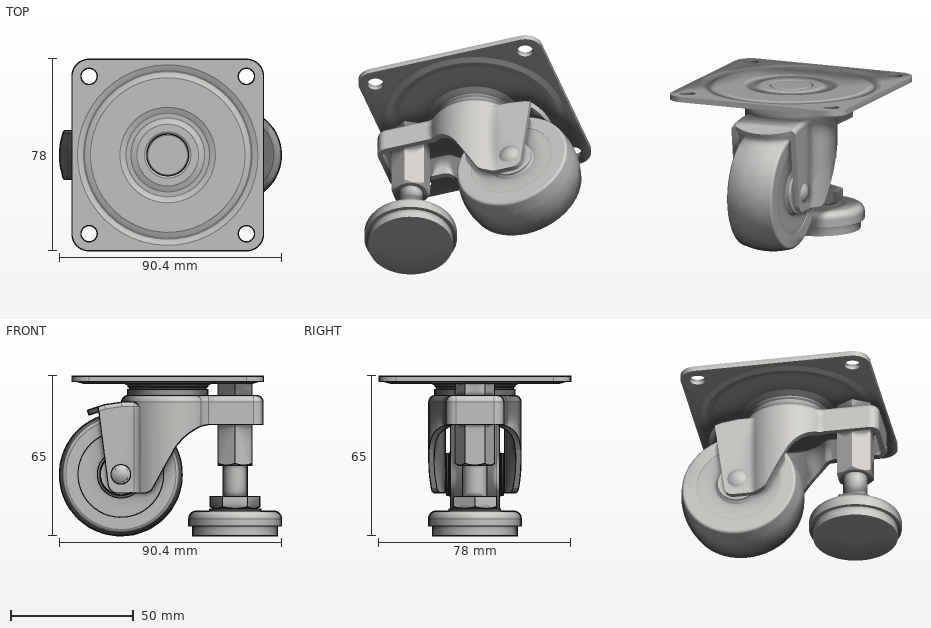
import cadquery as cq
import math


plate_side = 78.0
plate_top = 65.0
plate_thickness = 2.3
plate_corner_radius = 7.0
plate_bottom = plate_top - plate_thickness
bolt_pitch = 64.0
bolt_hole_diameter = 6.5
bead_depth = 0.7
bead_wall_width = 2.4
outer_bead_inner_radius = 31.4
outer_bead_outer_radius = 36.7
inner_bead_inner_radius = 12.6
inner_bead_outer_radius = 19.4
bore_round = 0.9
race_root_radius = 19.1
race_radius = 16.3
race_bottom_radius = 15.6
race_cone_height = 1.4
race_band_height = 0.5
race_chamfer_height = 0.6

sheet = 2.2
dome_radius = 18.8
dome_top = 57.1
dome_round = 2.7
collar_radius = 16.35
collar_top = 59.6
spindle_radius = 8.5
spindle_round = 0.45
arm_half_width = 11.75
arm_end = 38.8
arm_corner_radius = 4.0
arm_bottom = 45.3
leg_half_spacing = 14.2
leg_bottom = 17.5
leg_front_top_x = -28.2
leg_front_top_z = 51.95
leg_front_bottom_x = -23.8
leg_rear_bottom_x = -7.2
leg_rear_top = (2.7, 35.4)
skirt_curve_middle = (7.4, 40.75)
skirt_curve_end = (13.6, 44.6)
arm_start_x = 16.6
leg_corner_radius = 3.6
leg_top_round = 1.8
bend_radius = 4.1
hood_bend_x = -25.7
hood_bend_z = 53.4
hood_tip_x = -32.7
hood_tip_z = 51.05
dome_base = dome_top - dome_round

wheel_x = -19.1
wheel_z = 25.0
wheel_radius = 25.0
wheel_half_width = 10.0
tread_half_width = 8.85
tread_edge_radius = 23.7
wheel_face_radius = 22.4
wheel_edge_round = 1.3
web_outer_radius = 17.4
web_depth = 0.3
hub_base_radius = 9.6
hub_flare = 0.4
hub_radius = 8.6
hub_half_width = 11.7
hub_chamfer = 0.3
hub_groove_radius = 8.3
hub_groove_width = 0.4
axle_radius = 3.0
axle_head_radius = 4.0
axle_head_height = 1.4
axle_dome_radius = (axle_head_radius**2 + axle_head_height**2) / (2 * axle_head_height)

screw_x = 27.4
sleeve_flats = 13.9
sleeve_bottom = 28.6
sleeve_top = 62.0
screw_radius = 5.0
nut_flats = 17.5
nut_bottom = 11.0
nut_top = 16.1
hex_chamfer_drop = 0.9
hex_chamfer_inset = 0.3
flange_radius = 10.5
foot_radius = 18.9
foot_cap_bottom = 4.0
foot_cap_top = 10.1
foot_round = 3.2
pad_radius = 17.3

pick_slack = 0.1


def bead_ring(inner_radius, outer_radius, top):
    """Trapezoid ring, wide at the top, that forms a pressed bead."""
    return (
        cq.Workplane("XZ")
        .moveTo(inner_radius, top)
        .lineTo(outer_radius, top)
        .lineTo(outer_radius - bead_wall_width, top - bead_depth)
        .lineTo(inner_radius + bead_wall_width, top - bead_depth)
        .close()
        .revolve(360, (0, 0, 0), (0, 1, 0))
    )


def make_plate():
    plate = (
        cq.Workplane("XY")
        .workplane(offset=plate_bottom)
        .rect(plate_side, plate_side)
        .extrude(plate_thickness)
        .edges("|Z")
        .fillet(plate_corner_radius)
    )
    band_top = plate_bottom - race_cone_height
    band_bottom = band_top - race_band_height
    race = (
        cq.Workplane("XZ")
        .moveTo(0, plate_bottom)
        .lineTo(race_root_radius, plate_bottom)
        .lineTo(race_radius, band_top)
        .lineTo(race_radius, band_bottom)
        .lineTo(race_bottom_radius, band_bottom - race_chamfer_height)
        .lineTo(race_bottom_radius, collar_top)
        .lineTo(0, collar_top)
        .close()
        .revolve(360, (0, 0, 0), (0, 1, 0))
    )
    plate = plate.union(race)
    plate = plate.union(bead_ring(outer_bead_inner_radius, outer_bead_outer_radius, plate_bottom))
    plate = plate.cut(bead_ring(outer_bead_inner_radius, outer_bead_outer_radius, plate_top))
    plate = plate.cut(bead_ring(inner_bead_inner_radius, inner_bead_outer_radius, plate_top))
    bore = (
        cq.Workplane("XZ")
        .moveTo(0, collar_top)
        .lineTo(spindle_radius, collar_top)
        .lineTo(spindle_radius, plate_top - bore_round)
        .radiusArc((spindle_radius + bore_round, plate_top), bore_round)
        .lineTo(0, plate_top)
        .close()
        .revolve(360, (0, 0, 0), (0, 1, 0))
    )
    plate = plate.cut(bore)
    bolt_holes = (
        cq.Workplane("XY")
        .workplane(offset=plate_bottom)
        .rect(bolt_pitch, bolt_pitch, forConstruction=True)
        .vertices()
        .circle(bolt_hole_diameter / 2)
        .extrude(plate_thickness)
    )
    return plate.cut(bolt_holes)


def round_body_with_wing(radius, half_width, wing_end, root_radius, top):
    """Upright cylinder with a straight-sided wing out to wing_end, blended at the two roots."""
    body = cq.Workplane("XY").workplane(offset=leg_bottom).circle(radius).extrude(top - leg_bottom)
    wing = (
        cq.Workplane("XY")
        .workplane(offset=leg_bottom)
        .center(wing_end / 2, 0)
        .rect(abs(wing_end), 2 * half_width)
        .extrude(top - leg_bottom)
    )
    root_x = math.copysign(math.sqrt(radius**2 - half_width**2), wing_end)
    roots = cq.selectors.BoxSelector(
        (root_x - pick_slack, -half_width - pick_slack, leg_bottom),
        (root_x + pick_slack, half_width + pick_slack, top),
    )
    return body.union(wing).edges("|Z").edges(roots).fillet(root_radius)


def dome_and_arm(inset):
    """Outer (inset 0) or inner (inset sheet) boundary of the dome and the arm."""
    end = arm_end - inset
    return (
        round_body_with_wing(
            dome_radius - inset, arm_half_width - inset, end, bend_radius, dome_top - inset
        )
        .edges("|Z and >X")
        .fillet(arm_corner_radius - inset)
        .faces(">Z")
        .edges()
        .fillet(dome_round - inset)
    )


def hood_profile(drop):
    """Side outline below the sloping top of the hood, lowered by drop."""
    return [
        (0, dome_base - drop),
        (-dome_radius, dome_base - drop),
        (hood_bend_x, hood_bend_z - drop),
        (hood_tip_x, hood_tip_z - drop),
        (hood_tip_x, leg_bottom),
        (0, leg_bottom),
    ]


def hood_and_legs(inset):
    """Outer (inset 0) or inner (inset sheet) boundary of the hood and the two legs."""
    plan = round_body_with_wing(
        dome_radius - inset, leg_half_spacing - inset, hood_tip_x, bend_radius, dome_base
    )
    side = (
        cq.Workplane("XZ")
        .polyline(hood_profile(inset))
        .close()
        .extrude(dome_radius, both=True)
    )
    return plan.intersect(side)


def fork_side():
    """Side outline of the legs, the skirt and the arm, as a block across the part."""
    block = (
        cq.Workplane("XZ")
        .moveTo(leg_front_top_x, dome_top)
        .lineTo(leg_front_top_x, leg_front_top_z)
        .lineTo(leg_front_bottom_x, leg_bottom)
        .lineTo(leg_rear_bottom_x, leg_bottom)
        .lineTo(*leg_rear_top)
        .threePointArc(skirt_curve_middle, skirt_curve_end)
        .lineTo(arm_start_x, arm_bottom)
        .lineTo(arm_end, arm_bottom)
        .lineTo(arm_end, dome_top)
        .close()
        .extrude(dome_radius, both=True)
    )
    return block.edges("|Y and <Z").fillet(leg_corner_radius)


def hood_lip():
    """Sheet at the front of the hood, with a front edge as round as the dome."""
    sheet_band = (
        cq.Workplane("XZ")
        .polyline(
            [
                (hood_bend_x, hood_bend_z),
                (hood_tip_x, hood_tip_z),
                (hood_tip_x, hood_tip_z - sheet),
                (hood_bend_x, hood_bend_z - sheet),
            ]
        )
        .close()
        .extrude(leg_half_spacing - sheet, both=True)
    )
    tip_slope = math.degrees(math.atan2(hood_bend_z - hood_tip_z, hood_bend_x - hood_tip_x))
    front_edge = (
        cq.Workplane("XY")
        .center(dome_radius, 0)
        .circle(dome_radius)
        .extrude(2 * sheet, both=True)
        .rotate((0, 0, 0), (0, 1, 0), -tip_slope)
        .translate((hood_tip_x, 0, hood_tip_z))
    )
    return sheet_band.intersect(front_edge)


def upright_cylinder(radius, bottom, top):
    """Cylinder on the screw axis."""
    return (
        cq.Workplane("XY")
        .workplane(offset=bottom)
        .center(screw_x, 0)
        .circle(radius)
        .extrude(top - bottom)
    )


def hexagon(flats, bottom, top, corner_on_x):
    """Upright hexagonal prism on the screw axis, with its lower corners chamfered."""
    corner_radius = flats / math.sqrt(3)
    prism = (
        cq.Workplane("XY")
        .polygon(6, 2 * corner_radius)
        .extrude(top - bottom)
        .rotate((0, 0, 0), (0, 0, 1), 0 if corner_on_x else 30)
    )
    chamfer_radius = flats / 2 - hex_chamfer_inset
    envelope = (
        cq.Workplane("XZ")
        .lineTo(chamfer_radius, 0)
        .lineTo(corner_radius, hex_chamfer_drop)
        .lineTo(corner_radius, top - bottom)
        .lineTo(0, top - bottom)
        .close()
        .revolve(360, (0, 0, 0), (0, 1, 0))
    )
    return prism.intersect(envelope).translate((screw_x, 0, bottom))


def axle_shaft(radius, half_length):
    """Cylinder along the wheel axis, centred between the legs."""
    return (
        cq.Workplane("XZ").center(wheel_x, wheel_z).circle(radius).extrude(half_length, both=True)
    )


def make_fork():
    leg_tops = cq.selectors.BoxSelector(
        (hood_tip_x, -dome_radius, hood_tip_z - pick_slack),
        (-bend_radius, dome_radius, dome_base + pick_slack),
    )
    legs = hood_and_legs(0).edges(leg_tops).edges("not(|Y)").edges("not(|Z)").fillet(leg_top_round)
    fork = dome_and_arm(0).union(legs)
    fork = fork.cut(dome_and_arm(sheet)).cut(hood_and_legs(sheet))
    fork = fork.intersect(fork_side()).union(hood_lip())
    collar = (
        cq.Workplane("XY")
        .workplane(offset=dome_top - sheet)
        .circle(collar_radius)
        .extrude(collar_top - dome_top + sheet)
    )
    spindle = (
        cq.Workplane("XY")
        .workplane(offset=dome_top - sheet)
        .circle(spindle_radius)
        .extrude(plate_top - dome_top + sheet)
        .faces(">Z")
        .edges()
        .fillet(spindle_round)
    )
    fork = fork.union(collar).union(spindle)
    fork = fork.cut(axle_shaft(axle_radius, dome_radius))
    return fork.cut(hexagon(sleeve_flats, sleeve_bottom, sleeve_top, corner_on_x=False))


def wheel_hub():
    """Solid of the hub on one side, from the sunk web out to the hub face."""
    groove_inner_end = wheel_half_width + hub_flare
    groove_outer_end = groove_inner_end + hub_groove_width
    return (
        cq.Workplane("XY")
        .lineTo(hub_base_radius, 0)
        .lineTo(hub_base_radius, wheel_half_width - web_depth)
        .lineTo(hub_radius, groove_inner_end)
        .lineTo(hub_groove_radius, groove_inner_end)
        .lineTo(hub_groove_radius, groove_outer_end)
        .lineTo(hub_radius, groove_outer_end)
        .lineTo(hub_radius, hub_half_width - hub_chamfer)
        .lineTo(hub_radius - hub_chamfer, hub_half_width)
        .lineTo(0, hub_half_width)
        .close()
        .revolve(360, (0, 0, 0), (0, 1, 0))
    )


def make_wheel():
    wheel = (
        cq.Workplane("XY")
        .moveTo(0, -wheel_half_width)
        .lineTo(wheel_face_radius, -wheel_half_width)
        .radiusArc((tread_edge_radius, -tread_half_width), -wheel_edge_round)
        .threePointArc((wheel_radius, 0), (tread_edge_radius, tread_half_width))
        .radiusArc((wheel_face_radius, wheel_half_width), -wheel_edge_round)
        .lineTo(0, wheel_half_width)
        .close()
        .revolve(360, (0, 0, 0), (0, 1, 0))
    )
    sunk_web = (
        cq.Workplane("XZ")
        .workplane(offset=wheel_half_width - web_depth)
        .circle(web_outer_radius)
        .extrude(web_depth)
    )
    hub = wheel_hub()
    wheel = wheel.cut(sunk_web).cut(sunk_web.mirror("XZ"))
    wheel = wheel.union(hub).union(hub.mirror("XZ")).translate((wheel_x, 0, wheel_z))
    return wheel.cut(axle_shaft(axle_radius, hub_half_width))


def make_axle():
    """Shaft through both legs, with a domed head on each end."""
    head_tip = leg_half_spacing + axle_head_height
    half = (
        cq.Workplane("XY")
        .lineTo(axle_radius, 0)
        .lineTo(axle_radius, leg_half_spacing)
        .lineTo(axle_head_radius, leg_half_spacing)
        .radiusArc((0, head_tip), -axle_dome_radius)
        .close()
        .revolve(360, (0, 0, 0), (0, 1, 0))
    )
    axle = half.union(half.mirror("XZ"))
    return axle.translate((wheel_x, 0, wheel_z))


def make_sleeve():
    sleeve = hexagon(sleeve_flats, sleeve_bottom, sleeve_top, corner_on_x=False)
    return sleeve.cut(upright_cylinder(screw_radius, sleeve_bottom, sleeve_top))


def make_screw_foot():
    pad = upright_cylinder(pad_radius, 0, foot_cap_bottom)
    cap = upright_cylinder(foot_radius, foot_cap_bottom, foot_cap_top)
    cap = cap.faces(">Z").edges().fillet(foot_round)
    flange = upright_cylinder(flange_radius, foot_cap_top, nut_bottom)
    nut = hexagon(nut_flats, nut_bottom, nut_top, corner_on_x=True)
    screw = upright_cylinder(screw_radius, nut_top, sleeve_top)
    return pad.union(cap).union(flange).union(nut).union(screw)


plate = make_plate()
fork = make_fork()
wheel = make_wheel()
axle = make_axle()
sleeve = make_sleeve()
screw_foot = make_screw_foot()

result = cq.Compound.makeCompound(
    [
        plate.solids().val(),
        fork.solids().val(),
        wheel.solids().val(),
        axle.solids().val(),
        sleeve.solids().val(),
        screw_foot.solids().val(),
    ]
)